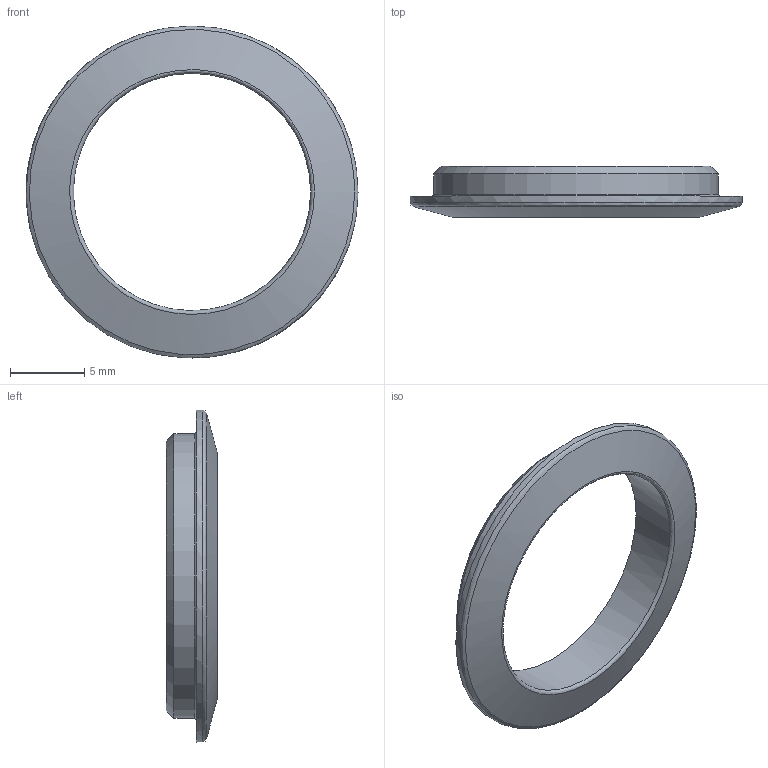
import cadquery as cq
import math

bore_radius = 8.0
collar_radius = 9.6
flange_radius = 11.19

collar_length = 2.0
flange_depth_at_bore = 1.5
cone_angle = 15.0

collar_chamfer = 0.5
neck_fillet = 0.1
rim_fillet = 0.3
bore_fillet = 0.2

cone_rise = (flange_radius - bore_radius) * math.tan(math.radians(cone_angle))
rim_depth = flange_depth_at_bore - cone_rise


def ring_blank():
    """Revolve the half section, in (radius, Y) coordinates, about the Y axis."""
    section = (
        cq.Workplane("XY")
        .moveTo(bore_radius, collar_length)
        .lineTo(collar_radius - collar_chamfer, collar_length)
        .lineTo(collar_radius, collar_length - collar_chamfer)
        .lineTo(collar_radius, 0)
        .lineTo(flange_radius, 0)
        .lineTo(flange_radius, -rim_depth)
        .lineTo(bore_radius, -flange_depth_at_bore)
        .close()
    )
    return section.revolve(360, (0, 0, 0), (0, 1, 0))


def round_circle(body, edge_radius, edge_y, fillet_radius):
    """Fillet the circular edge of the given radius lying at the given Y."""
    tolerance = 0.01
    reach = edge_radius + tolerance
    edge = cq.selectors.BoxSelector(
        (-reach, edge_y - tolerance, -reach),
        (reach, edge_y + tolerance, reach),
        boundingbox=True,
    )
    return body.edges("%CIRCLE").edges(edge).fillet(fillet_radius)


result = ring_blank()
result = round_circle(result, collar_radius, 0, neck_fillet)
result = round_circle(result, flange_radius, -rim_depth, rim_fillet)
result = round_circle(result, bore_radius, -flange_depth_at_bore, bore_fillet)